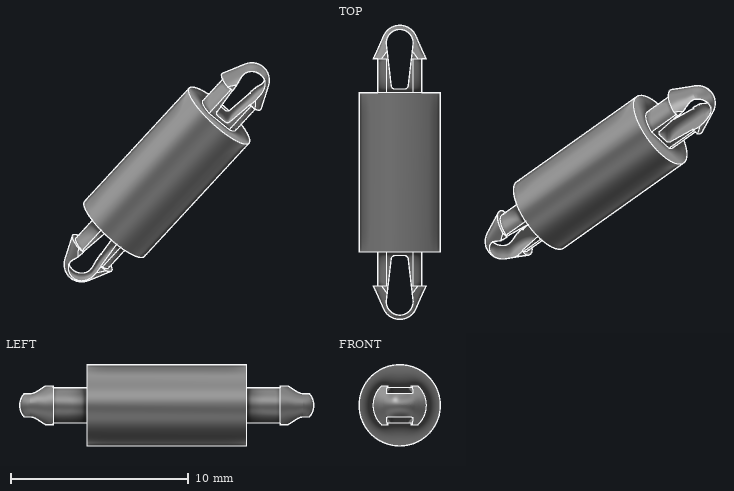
import cadquery as cq
import math

body_diameter = 4.6
body_length = 9.0

shank_radius = 1.25
shank_flat_half_height = 1.0
barb_radius = 1.5
barb_flat_half_height = 1.1
barb_base = 1.9
pin_length = 3.8
nose_radius = 1.0

slot_floor = 0.2
slot_round_radius = 0.75
slot_floor_half_width = 0.45
slot_corner_radius = 0.2

body_face = body_length / 2
pin_tip = body_face + pin_length
nose_centre = pin_tip - nose_radius


def tangent_point(x, y, centre_y, radius):
    """Point where a line from (x, y) touches, on its outer (+X) side, a circle on the Y axis."""
    dy = y - centre_y
    distance = math.hypot(x, dy)
    angle = math.atan2(dy, x) + math.acos(radius / distance)
    return radius * math.cos(angle), centre_y + radius * math.sin(angle)


def flatted(solid, half_height):
    """Trim a turned solid to a pair of flats facing +Z and -Z."""
    slab = cq.Workplane("XY").box(body_diameter, 2 * pin_tip, 2 * half_height)
    return solid.intersect(slab)


def make_shank():
    """Pin shank, reaching from the body face to the barb."""
    shank = (
        cq.Workplane("XZ", origin=(0, body_face, 0))
        .circle(shank_radius)
        .extrude(-barb_base)
    )
    return flatted(shank, shank_flat_half_height)


def make_barb():
    """Conical barb running tangentially into a spherical nose."""
    base_y = body_face + barb_base
    cone_end = tangent_point(barb_radius, base_y, nose_centre, nose_radius)
    nose_middle = (nose_radius * math.sqrt(0.5), nose_centre + nose_radius * math.sqrt(0.5))
    barb = (
        cq.Workplane("XY")
        .moveTo(0, base_y)
        .lineTo(barb_radius, base_y)
        .lineTo(*cone_end)
        .threePointArc(nose_middle, (0, pin_tip))
        .close()
        .revolve(360, (0, 0, 0), (0, 1, 0))
    )
    return flatted(barb, barb_flat_half_height)


def make_slot():
    """Cutter for the slot: narrow rounded floor, tapered sides and a round outer end."""
    floor_y = body_face + slot_floor
    top_y = nose_centre + slot_round_radius
    side_x, side_y = tangent_point(slot_floor_half_width, floor_y, nose_centre, slot_round_radius)
    return (
        cq.Workplane("XY")
        .moveTo(-slot_floor_half_width, floor_y)
        .lineTo(slot_floor_half_width, floor_y)
        .lineTo(side_x, side_y)
        .threePointArc((0, top_y), (-side_x, side_y))
        .close()
        .extrude(barb_radius, both=True)
        .edges("|Z and <Y")
        .fillet(slot_corner_radius)
    )


body = cq.Workplane("XZ", origin=(0, body_face, 0)).circle(body_diameter / 2).extrude(body_length)
pin = make_shank().union(make_barb()).cut(make_slot())
result = body.union(pin).union(pin.mirror("XZ"))